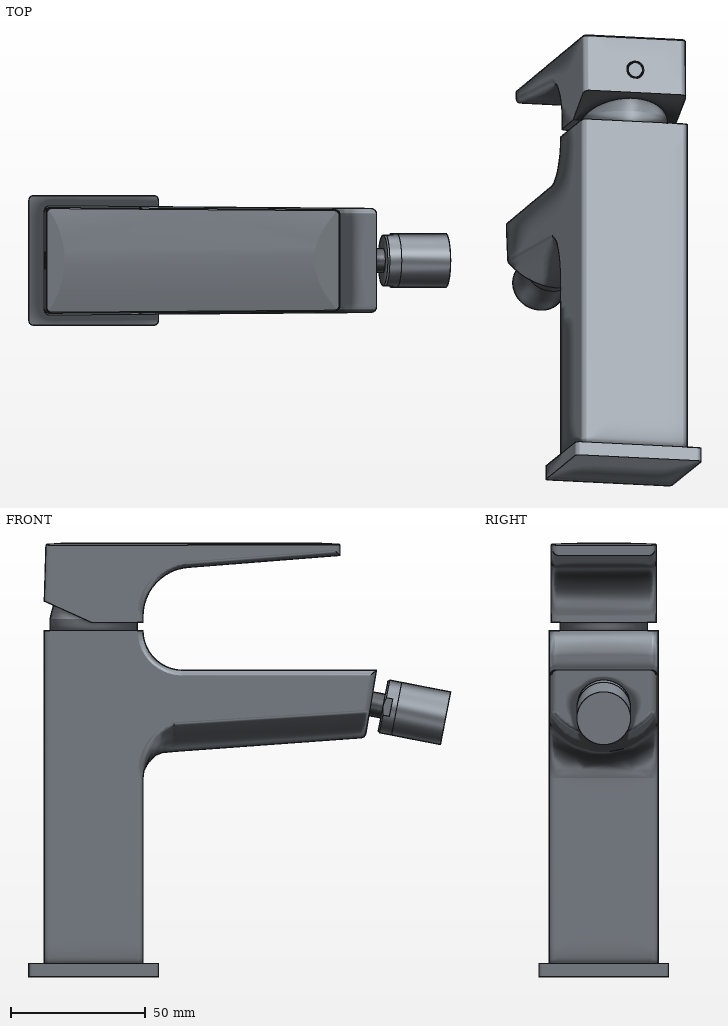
import cadquery as cq
import math


base_side = 48.0
base_height = 5.0
base_corner_radius = 1.8

column_half_x = 18.3
column_half_y = 20.3
column_top = 128.3
edge_radius = 2.1

spout_top = 113.7
spout_tip_x = 104.8
spout_tip_half_y = 19.3
spout_end_tilt = 9.5
spout_slope = 4.2
upper_bend_radius = column_top - spout_top
under_bend_x = 29.7
under_bend_z = 73.6
under_bend_height = 9.8
crown_depth = 10.6
bend_sections = 5

collar_radius = 16.2
collar_shoulder = 132.5
collar_break_z = 135.2
collar_break_radius = 15.6
collar_top = 138.3
collar_top_radius = 14.8

handle_top = 160.8
handle_rim = 160.3
handle_bottom = 131.4
handle_back_top_x = -17.7
handle_back_bottom_x = -18.3
handle_back_bottom_z = 139.2
handle_heel_x = -0.8
handle_tip_x = 91.3
handle_tip_z = 156.1
handle_back_half_y = 19.6
handle_tip_half_y = 18.8
handle_slope = 4.5
handle_bend_radius = 18.0
back_facet_length = 7.0
tip_facet_length = 9.5
end_strip_length = 2.9
end_strip_rise = 0.2
rim_bevel = 0.4

button_z = 147.9
button_radius = 2.7
button_hole_radius = 3.2
button_depth = 1.6
button_face_x = -18.0

aerator_tilt = 11.0
aerator_radius = 10.0
aerator_end_x = 130.4
aerator_end_z = 95.8
sleeve_length = 18.5
ring_length = 5.1
ring_chamfer = 0.6
flat_width = 6.6
flat_length = 3.0
stem_radius = 4.5
stem_length = 7.2

margin = 3.2
tolerance = 0.2
rim_edge_reach = 1.0


def slope(angle):
    return math.tan(math.radians(angle))


def tapered_plan(back_x, tip_x, back_half, tip_half, height):
    """Upright block whose plan narrows evenly from back_x to tip_x."""
    points = [(back_x, -back_half), (tip_x, -tip_half), (tip_x, tip_half), (back_x, back_half)]
    return cq.Workplane("XY").polyline(points).close().extrude(height)


def make_base():
    plate = cq.Workplane("XY").rect(base_side, base_side).extrude(base_height)
    return plate.edges("|Z").fillet(base_corner_radius)


def spout_end_x(z):
    """Position of the tilted spout end at height z."""
    return spout_tip_x - (spout_top - z) * slope(spout_end_tilt)


def body_blank():
    """Column and spout in one outline, before the underside is shaped."""
    outline = (
        cq.Workplane("XZ")
        .moveTo(-column_half_x, base_height)
        .lineTo(-column_half_x, column_top)
        .lineTo(column_half_x, column_top)
        .radiusArc((column_half_x + upper_bend_radius, spout_top), -upper_bend_radius)
        .lineTo(spout_tip_x, spout_top)
        .lineTo(spout_end_x(under_bend_z), under_bend_z)
        .lineTo(column_half_x, under_bend_z)
        .lineTo(column_half_x, base_height)
        .close()
        .extrude(column_half_y, both=True)
    )
    plan = tapered_plan(
        -column_half_x, spout_tip_x, column_half_y, spout_tip_half_y, column_top)
    return outline.intersect(plan)


def underside_cutter():
    """Space below the straight part of the spout, which has a crowned underside."""
    length = spout_tip_x - under_bend_x + margin
    middle_z = under_bend_z + under_bend_height
    edge_z = middle_z + crown_depth
    floor_z = base_height
    section = (
        cq.Workplane("YZ", origin=(under_bend_x, 0, 0))
        .moveTo(-column_half_y, edge_z)
        .threePointArc((0, middle_z), (column_half_y, edge_z))
        .lineTo(column_half_y, floor_z)
        .lineTo(-column_half_y, floor_z)
        .close()
    )
    path = (
        cq.Workplane("XZ")
        .moveTo(under_bend_x, middle_z)
        .lineTo(under_bend_x + length, middle_z + length * slope(spout_slope))
    )
    return section.sweep(path)


def bend_cutter():
    """Space inside the underside bend: flat at the column, fully crowned where the spout starts.

    The cross-sections fan out about a line along Y through the bend centre.
    """
    start_reach = under_bend_x - column_half_x
    wires = []
    for step in range(bend_sections):
        turn = math.pi / 2 * step / (bend_sections - 1)
        growth = 1 - math.cos(turn)
        middle_reach = start_reach + (under_bend_height - start_reach) * growth
        edge_reach = middle_reach + crown_depth * growth
        plane = cq.Plane(
            origin=(under_bend_x, 0, under_bend_z),
            xDir=(0, 1, 0),
            normal=(math.sin(turn), 0, math.cos(turn)),
        )
        section = cq.Workplane(plane).moveTo(-column_half_y, 0).lineTo(-column_half_y, edge_reach)
        if step == 0:
            section = section.lineTo(column_half_y, edge_reach)
        else:
            section = section.threePointArc((0, middle_reach), (column_half_y, edge_reach))
        wires.append(section.lineTo(column_half_y, 0).close().val())
    return cq.Workplane(cq.Solid.makeLoft(wires))


def is_outline_edge(edge):
    """True for the edges of the two sides and of the spout tip, not those on the base or the top."""
    place = edge.Center()
    on_side = abs(place.y) > spout_tip_half_y - margin
    on_tip = place.x > spout_end_x(under_bend_z) and place.z < spout_top - tolerance
    return (on_side or on_tip) and base_height + tolerance < place.z < column_top - tolerance


def make_body(stem):
    body = body_blank().cut(underside_cutter()).cut(bend_cutter())
    rounded = [edge for edge in body.edges().vals() if is_outline_edge(edge)]
    return body.newObject(rounded).fillet(edge_radius).cut(stem)


def make_collar():
    """Round collar with a shoulder that narrows in two steps, reaching into the handle."""
    return (
        cq.Workplane("XZ")
        .moveTo(0, column_top)
        .lineTo(collar_radius, column_top)
        .lineTo(collar_radius, collar_shoulder)
        .lineTo(collar_break_radius, collar_break_z)
        .lineTo(collar_top_radius, collar_top)
        .lineTo(0, collar_top)
        .close()
        .revolve(360, (0, 0), (0, 1))
    )


def handle_blank():
    """Lever and grip in one outline, tapering in plan towards the tip, with rounded sides."""
    lever_root_z = handle_tip_z - (handle_tip_x - column_half_x) * slope(handle_slope)
    outline = (
        cq.Workplane("XZ")
        .moveTo(handle_back_top_x, handle_top)
        .lineTo(handle_tip_x, handle_top)
        .lineTo(handle_tip_x, handle_tip_z)
        .lineTo(column_half_x, lever_root_z)
        .lineTo(column_half_x, handle_bottom)
        .lineTo(handle_heel_x, handle_bottom)
        .lineTo(handle_back_bottom_x, handle_back_bottom_z)
        .close()
        .extrude(handle_back_half_y, both=True)
        .edges(cq.NearestToPointSelector((column_half_x, 0, lever_root_z)))
        .fillet(handle_bend_radius)
    )
    plan = tapered_plan(
        handle_back_bottom_x, handle_tip_x, handle_back_half_y, handle_tip_half_y, handle_top)
    handle = outline.intersect(plan)
    rounded = [edge for edge in handle.edges().vals() if is_handle_edge(edge)]
    return handle.newObject(rounded).fillet(edge_radius)


def is_handle_edge(edge):
    """True for the upright edges and the edges under the lever, not the top or the heel."""
    place = edge.Center()
    on_side = abs(place.y) > handle_tip_half_y - margin
    under_lever = place.x > column_half_x - tolerance
    at_back = place.x < (handle_back_top_x + handle_back_bottom_x) / 2 + tolerance
    return on_side and (under_lever or at_back) and place.z < handle_top - tolerance


def crown_top(handle):
    """Round the top slightly across its width and slope both of its ends."""
    rise = handle_top - handle_rim
    crown_radius = (handle_back_half_y ** 2 + rise ** 2) / (2 * rise)
    length = handle_tip_x - handle_back_bottom_x
    crown = (
        cq.Workplane("YZ", origin=(handle_back_bottom_x, 0, handle_top - crown_radius))
        .circle(crown_radius)
        .extrude(length)
    )
    handle = handle.intersect(crown)
    strip_slope = end_strip_rise / end_strip_length
    ends = [
        (handle_back_top_x, 1, back_facet_length),
        (handle_tip_x, -1, tip_facet_length),
    ]
    for end_x, inward, facet_length in ends:
        facets = (
            cq.Workplane("XZ")
            .moveTo(end_x - inward * margin, handle_top + margin)
            .lineTo(end_x - inward * margin, handle_rim - margin * strip_slope)
            .lineTo(end_x + inward * end_strip_length, handle_rim + end_strip_rise)
            .lineTo(end_x + inward * facet_length, handle_top)
            .lineTo(end_x + inward * facet_length, handle_top + margin)
            .close()
            .extrude(handle_back_half_y, both=True)
        )
        handle = handle.cut(facets)
    return handle


def is_rim_edge(edge):
    """True for the outer edges of the handle top."""
    place = edge.Center()
    on_side = abs(place.y) > handle_tip_half_y - rim_edge_reach
    at_back = place.x < handle_back_top_x + rim_edge_reach
    at_tip = place.x > handle_tip_x - rim_edge_reach
    in_top = place.z > handle_rim - tolerance
    return in_top and (on_side or at_back or at_tip)


def make_handle(collar):
    hole = (
        cq.Workplane("YZ", origin=(button_face_x - margin, 0, button_z))
        .circle(button_hole_radius)
        .extrude(button_depth + margin)
    )
    handle = crown_top(handle_blank())
    rim = [edge for edge in handle.edges().vals() if is_rim_edge(edge)]
    handle = handle.newObject(rim).chamfer(rim_bevel)
    return handle.cut(hole).cut(collar)


def make_button():
    return (
        cq.Workplane("YZ", origin=(button_face_x, 0, button_z))
        .circle(button_radius)
        .extrude(button_depth)
    )


def aerator_section(distance):
    """Workplane across the aerator axis, a distance upstream of the outlet, facing the outlet."""
    tilt = math.radians(aerator_tilt)
    axis_x = math.cos(tilt)
    axis_z = -math.sin(tilt)
    origin = (aerator_end_x - distance * axis_x, 0, aerator_end_z - distance * axis_z)
    return cq.Workplane(cq.Plane(origin=origin, xDir=(0, 1, 0), normal=(axis_x, 0, axis_z)))


def make_stem():
    """Swivel stem from inside the spout tip to the aerator ring."""
    start = aerator_section(sleeve_length + ring_length + stem_length)
    return start.circle(stem_radius).extrude(stem_length)


def make_aerator_ring():
    """Short ring with a bevelled inlet edge and a wrench flat on either side."""
    distance = sleeve_length + ring_length
    ring = aerator_section(distance).circle(aerator_radius).extrude(ring_length)
    ring = ring.faces("<X").chamfer(ring_chamfer)
    flat_offset = math.sqrt(aerator_radius ** 2 - (flat_width / 2) ** 2)
    for side in (-1, 1):
        flat = (
            aerator_section(distance)
            .center(side * (flat_offset + margin / 2), 0)
            .rect(margin, flat_width)
            .extrude(flat_length)
        )
        ring = ring.cut(flat)
    return ring


def make_aerator_sleeve():
    return aerator_section(sleeve_length).circle(aerator_radius).extrude(sleeve_length)


base = make_base()
stem = make_stem()
body = make_body(stem)
collar = make_collar()
handle = make_handle(collar)
button = make_button()
aerator_ring = make_aerator_ring()
aerator_sleeve = make_aerator_sleeve()

result = cq.Compound.makeCompound([
    base.val(),
    body.val(),
    collar.val(),
    handle.val(),
    button.val(),
    stem.val(),
    aerator_ring.val(),
    aerator_sleeve.val(),
])